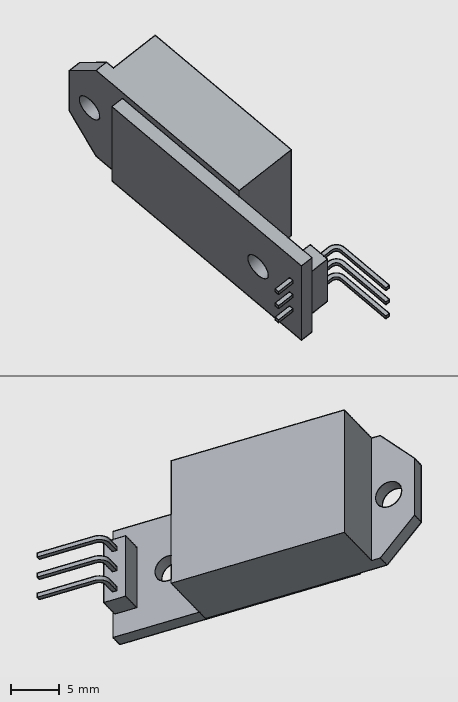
import cadquery as cq

total_length = 41.75

housing_end = 25.0
housing_width = 15.0
housing_depth = 7.45
housing_start = 4.95
flange_thickness = 1.5
flange_corner_x = 3.95
flange_corner_z = 4.0

board_start = 7.85
board_length = 27.9
board_width = 13.0
board_thickness = 1.5

hole_diameter = 3.0
flange_hole_x = 3.0
board_hole_x = 29.35

pin_count = 3
pin_pitch = 2.45
pin_size = 0.5
pin_x = 34.25
pin_tail = 2.05
pin_height = 4.93
pin_bend_radius = 0.9
header_length = 2.55
header_depth = 2.42


def box_between(x_range, y_range, width):
    """Box over the given X and Y ranges, centred on Z = 0."""
    length = x_range[1] - x_range[0]
    depth = y_range[1] - y_range[0]
    return (
        cq.Workplane("XY")
        .box(length, depth, width, centered=(False, False, True))
        .translate((x_range[0], y_range[0], 0))
    )


def through_hole(x):
    """Cutter along Y that passes through the flange and the board."""
    length = board_thickness + flange_thickness
    return (
        cq.Workplane("XZ", origin=(x, flange_thickness, 0))
        .circle(hole_diameter / 2)
        .extrude(length)
    )


def make_housing():
    """Sensor housing with a flange whose two outer corners are cut off."""
    half_width = housing_width / 2
    corner_z = half_width - flange_corner_z
    flange = (
        cq.Workplane("XZ")
        .moveTo(0, -corner_z)
        .lineTo(flange_corner_x, -half_width)
        .lineTo(housing_end, -half_width)
        .lineTo(housing_end, half_width)
        .lineTo(flange_corner_x, half_width)
        .lineTo(0, corner_z)
        .close()
        .extrude(-flange_thickness)
    )
    block = box_between((housing_start, housing_end), (0, housing_depth), housing_width)
    return flange.union(block)


def make_board():
    """Flat circuit board under the housing."""
    return box_between(
        (board_start, board_start + board_length), (-board_thickness, 0), board_width
    )


def make_header():
    """Plastic block that holds the pins, one pitch of width per pin."""
    header_x = (pin_x - header_length / 2, pin_x + header_length / 2)
    return box_between(header_x, (0, header_depth), pin_count * pin_pitch)


def make_pin(z):
    """Square pin that rises through the board and bends toward +X."""
    path = (
        cq.Workplane("XY", origin=(0, 0, z))
        .moveTo(pin_x, -board_thickness - pin_tail)
        .lineTo(pin_x, pin_height - pin_bend_radius)
        .radiusArc((pin_x + pin_bend_radius, pin_height), pin_bend_radius)
        .lineTo(total_length, pin_height)
    )
    tail_end = (pin_x, -board_thickness - pin_tail, z)
    return cq.Workplane("XZ", origin=tail_end).rect(pin_size, pin_size).sweep(path)


result = make_housing().union(make_board()).union(make_header())

for hole_x in (flange_hole_x, board_hole_x):
    result = result.cut(through_hole(hole_x))

for index in range(pin_count):
    pin_z = (index - (pin_count - 1) / 2) * pin_pitch
    result = result.union(make_pin(pin_z))